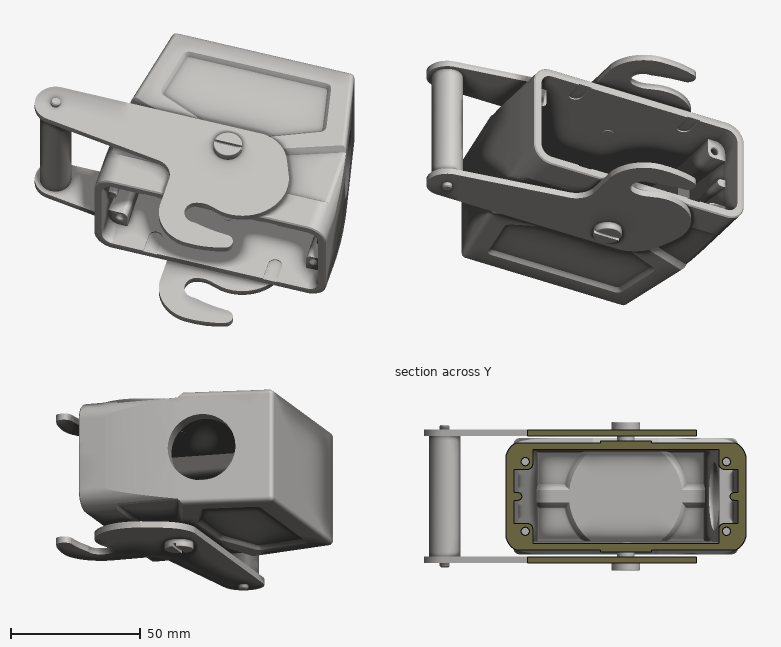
import cadquery as cq

wall_slope_angle = 45

rim_y = -25.1
taper_start_y = -14.0
hip_y = 15.7
top_y = 50.9
rim_half_x = 46.6
hip_half_x = 43.2
top_half_x = 36.4
upper_half_z = 22.5
skirt_half_z = 21.6
skirt_corner_radius = 7.5
upper_edge_round = 1.9
rim_chamfer = 0.5

band_half_z = 20.5
band_bottom_y = -10.5
band_edge_chamfer = 0.7
hip_ridge_slope = 0.36
hip_ridge_flat_half_x = 13.0
hip_ridge_flat_y = 3.6
pivot_boss_radius = 10.0

panel_depth = 1.5
panel_corner_radius = 2.5
panel_top_y = 42.9
panel_shoulder_y = 20.7
panel_bottom_y = 12.0
panel_top_half_x = 29.4
panel_shoulder_half_x = 33.5
panel_bottom_half_x = 13.0

rim_wall = 3.1
cavity_rim_half_z = 18.3
cavity_floor_half_z = 17.3
cavity_corner_radius = 4.6
cavity_kink_y = 8.7
cavity_kink_half_x = 41.4
cavity_floor_y = 47.6
cavity_floor_half_x = 34.0

entry_wall_ledge_x = 36.3
entry_wall_floor_x = 30.4
entry_radius = 13.2
entry_y = 22.5

floor_step = 2.0
floor_fillet = 0.7
floor_disc_radius = 24.0
floor_bar_half_z = 4.5

post_end_y = -15.6
post_inner_x = 35.9
post_inner_z = 10.4
post_corner_radius = 2.2
post_hole_x = 38.9
post_hole_z = 13.5
post_hole_diameter = 3.0
post_hole_depth = 15.0
post_hole_chamfer = 0.4
key_rib_width = 3.1
key_rib_tip_x = 40.2

groove_x = 24.1
groove_width = 5.5
groove_end_y = -15.0
groove_depth = 0.4

plate_inner_z = 23.3
plate_thickness = 2.5
plate_outer_z = plate_inner_z + plate_thickness
grip_x = -70.0
grip_y = 2.2
grip_end_radius = 8.1
grip_diameter = 12.2
pin_diameter = 3.9
pin_end_z = 27.6
pin_chamfer = 0.5

screw_shank_diameter = 6.7
screw_shank_start_z = 19.2
screw_tip_diameter = 4.7
screw_tip_z = 17.8
screw_head_diameter = 11.1
screw_span_z = 57.5
screw_top_z = screw_span_z / 2
screw_slot_width = 1.4
screw_slot_depth = 1.2
screw_edge_round = 0.4


def both_z_sides(half):
    """Join a shape with its mirror image across the mid-plane."""
    return half.union(half.mirror("XY"))


def mirrored_outline(right_side):
    """Close a right-hand chain of points with its mirror image across X = 0."""
    left_side = [(-x, y) for x, y in reversed(right_side)]
    return right_side + left_side


def slab(points, half_z):
    """Prism of an XY outline, centred on the mid-plane."""
    return cq.Workplane("XY").polyline(points).close().extrude(half_z, both=True)


def rounded_prism(half_x, half_z, radius, end_y):
    """Rounded rectangle running along Y from the rim of the hood to end_y."""
    depth = end_y - rim_y
    centre_y = (end_y + rim_y) / 2
    box = cq.Workplane("XY").box(2 * half_x, depth, 2 * half_z).translate((0, centre_y, 0))
    return box.edges("|Y").fillet(radius)


def hood_block():
    """Full outline of the hood: straight rim, curved flanks, tapering upper part."""
    right_half = (
        cq.Workplane("XY")
        .moveTo(0, top_y)
        .lineTo(top_half_x, top_y)
        .lineTo(hip_half_x, hip_y)
        .tangentArcPoint((rim_half_x, taper_start_y), relative=False)
        .lineTo(rim_half_x, rim_y)
        .lineTo(0, rim_y)
        .close()
        .extrude(upper_half_z, both=True)
    )
    return right_half.union(right_half.mirror("YZ")).clean()


def upper_hood():
    """Raised part above the V-shaped hip ridge, which slopes down to the band."""
    reach_x = 2 * rim_half_x
    above_y = 2 * top_y
    reach_y = hip_ridge_flat_y + hip_ridge_slope * (reach_x - hip_ridge_flat_half_x)
    outline = mirrored_outline(
        [(hip_ridge_flat_half_x, hip_ridge_flat_y), (reach_x, reach_y), (reach_x, above_y)]
    )
    step = upper_half_z - band_half_z
    ridge = (
        cq.Workplane("XY", origin=(0, 0, band_half_z))
        .polyline(outline)
        .close()
        .extrude(step, taper=wall_slope_angle)
    )
    region = slab(outline, band_half_z).union(both_z_sides(ridge))
    lowest_y = hip_y + upper_edge_round
    above_hip = cq.selectors.BoxSelector(
        (-reach_x, lowest_y, -reach_x), (reach_x, above_y, reach_x)
    )
    return hood_block().edges(above_hip).fillet(upper_edge_round).intersect(region)


def flank_selector(x_sign, z_sign):
    """Picks the long outer edge of the sunken band at one of its four corners."""
    margin = 0.2
    inner = (x_sign * (rim_half_x - skirt_corner_radius), taper_start_y / 2)
    outer = (x_sign * rim_half_x, hip_y)
    return cq.selectors.BoxSelector(
        (*inner, z_sign * (band_half_z - margin)),
        (*outer, z_sign * (band_half_z + margin)),
    )


def skirt():
    """Lower part with round corners, cut back along the band above its straight rim."""
    buried_y = (hip_y + top_y) / 2
    prism = rounded_prism(rim_half_x, skirt_half_z, skirt_corner_radius, buried_y)
    body = hood_block().intersect(prism)
    body = body.faces("<Y").edges().chamfer(rim_chamfer)
    step = upper_half_z - band_half_z
    above_band = (
        cq.Workplane("XY", origin=(0, 0, band_half_z))
        .polyline(mirrored_outline([(rim_half_x, band_bottom_y), (rim_half_x, top_y)]))
        .close()
        .extrude(step, taper=-wall_slope_angle)
    )
    body = body.cut(both_z_sides(above_band))
    band_flanks = flank_selector(1, 1)
    for x_sign, z_sign in ((1, -1), (-1, 1), (-1, -1)):
        band_flanks = band_flanks + flank_selector(x_sign, z_sign)
    return body.edges(band_flanks).chamfer(band_edge_chamfer)


def pivot_bosses():
    """Pads around the pivot, running down into the skirt."""
    boss = cq.Workplane("XY").circle(pivot_boss_radius).extrude(skirt_half_z, both=True)
    length = -taper_start_y
    web = cq.Workplane("XY").box(2 * pivot_boss_radius, length, 2 * skirt_half_z)
    return boss.union(web.translate((0, -length / 2, 0)))


def panel_recesses():
    """Flat-bottomed panels with 45-degree walls on both broad faces."""
    outline = mirrored_outline(
        [
            (panel_bottom_half_x, panel_bottom_y),
            (panel_shoulder_half_x, panel_shoulder_y),
            (panel_top_half_x, panel_top_y),
        ]
    )
    recess = (
        cq.Workplane("XY", origin=(0, 0, upper_half_z - panel_depth))
        .polyline(outline)
        .close()
        .extrude(2 * panel_depth)
        .edges("|Z")
        .fillet(panel_corner_radius)
        .faces("<Z")
        .chamfer(panel_depth)
    )
    return both_z_sides(recess)


def cavity():
    """Hollow of the hood: kinked end walls and slightly drafted broad walls."""
    rim_inner_x = rim_half_x - rim_wall
    side_taper = slab(
        mirrored_outline(
            [
                (rim_inner_x, rim_y),
                (rim_inner_x, taper_start_y),
                (cavity_kink_half_x, cavity_kink_y),
                (cavity_floor_half_x, cavity_floor_y),
            ]
        ),
        cavity_rim_half_z,
    )
    draft = (
        cq.Workplane("YZ")
        .polyline(
            [
                (rim_y, -cavity_rim_half_z),
                (cavity_floor_y, -cavity_floor_half_z),
                (cavity_floor_y, cavity_floor_half_z),
                (rim_y, cavity_rim_half_z),
            ]
        )
        .close()
        .extrude(rim_half_x, both=True)
    )
    prism = rounded_prism(rim_inner_x, cavity_rim_half_z, cavity_corner_radius, cavity_floor_y)
    return side_taper.intersect(draft).intersect(prism)


def entry_wall():
    """Thick part of the +X wall, with a ledge facing the mouth."""
    return slab(
        [
            (entry_wall_ledge_x, cavity_kink_y),
            (rim_half_x, cavity_kink_y),
            (rim_half_x, cavity_floor_y),
            (entry_wall_floor_x, cavity_floor_y),
        ],
        cavity_rim_half_z,
    )


def entry_hole():
    """Round cable entry, square to the inclined inner face of the thick wall."""
    rise = cavity_floor_y - cavity_kink_y
    slope = (entry_wall_ledge_x - entry_wall_floor_x) / rise
    face_x = entry_wall_ledge_x - slope * (entry_y - cavity_kink_y)
    plane = cq.Plane(origin=(face_x, entry_y, 0), xDir=(0, 0, 1), normal=(1, slope, 0))
    return cq.Workplane(plane).circle(entry_radius).extrude(rim_half_x)


def floor_figure():
    """Plateau on the cavity floor with sloping sides."""
    floor = cq.Workplane("XZ", origin=(0, cavity_floor_y, 0))
    disc = floor.circle(floor_disc_radius).extrude(floor_step, taper=wall_slope_angle)
    bar = floor.rect(4 * rim_half_x, 2 * floor_bar_half_z).extrude(floor_step, taper=wall_slope_angle)
    return disc.union(bar)


def screw_posts():
    """Four corner posts that carry the insert screws."""
    length = cavity_floor_y - post_end_y
    width_x = rim_half_x - post_inner_x
    width_z = skirt_half_z - post_inner_z
    post = (
        cq.Workplane("XY")
        .box(width_x, length, width_z, centered=False)
        .edges("|Y and <X and <Z")
        .fillet(post_corner_radius)
        .translate((post_inner_x, post_end_y, post_inner_z))
    )
    pair = both_z_sides(post)
    return pair.union(pair.mirror("YZ"))


def key_ribs():
    """Round-nosed ribs in the middle of both end walls."""
    nose = key_rib_width / 2
    length = cavity_floor_y - post_end_y
    mouth = cq.Workplane("XZ", origin=(0, post_end_y, 0))
    body_length = rim_half_x - key_rib_tip_x - nose
    rib = (
        mouth.center(key_rib_tip_x + nose, 0)
        .circle(nose)
        .extrude(-length)
        .union(
            mouth.center(rim_half_x - body_length / 2, 0)
            .rect(body_length, key_rib_width)
            .extrude(-length)
        )
    )
    return rib.union(rib.mirror("YZ"))


def post_holes():
    """Blind holes with chamfered mouths in the screw posts."""
    places = [(x, z) for x in (-post_hole_x, post_hole_x) for z in (-post_hole_z, post_hole_z)]
    mouth = cq.Workplane("XZ", origin=(0, post_end_y, 0)).pushPoints(places)
    bores = mouth.circle(post_hole_diameter / 2).extrude(-post_hole_depth)
    rims = mouth.circle(post_hole_diameter / 2 + post_hole_chamfer)
    return bores.union(rims.extrude(-post_hole_chamfer, taper=wall_slope_angle))


def guide_grooves():
    """Two shallow round-ended grooves in each broad wall."""
    radius = groove_width / 2
    half_z = cavity_rim_half_z + groove_depth
    grooves = cq.Workplane("XY")
    for x in (-groove_x, groove_x):
        end_y = groove_end_y - radius
        outline = (
            cq.Workplane("XY")
            .moveTo(x - radius, rim_y)
            .lineTo(x + radius, rim_y)
            .lineTo(x + radius, end_y)
            .threePointArc((x, groove_end_y), (x - radius, end_y))
            .close()
        )
        grooves = grooves.add(outline.extrude(half_z, both=True))
    return grooves.combine()


def hood():
    """Hood shell with its inner fittings and holes."""
    body = upper_hood().union(skirt()).union(pivot_bosses())
    body = body.cut(panel_recesses())
    fittings = entry_wall().union(floor_figure()).union(screw_posts()).union(key_ribs())
    void = cavity().cut(fittings).faces(">Y").edges().fillet(floor_fillet)
    return body.cut(void).cut(entry_hole()).cut(post_holes()).cut(guide_grooves())


def lever_plate():
    """One plate: grip arm on the left, pivot lobe on the right, hook below."""
    grip_top_y = grip_y + grip_end_radius
    return (
        cq.Workplane("XY", origin=(0, 0, plate_inner_z))
        .moveTo(grip_x, grip_top_y)
        .lineTo(11.6, grip_top_y)
        .threePointArc((19.2, 7.0), (23.6, 0.7))
        .lineTo(26.5, -6.5)
        .threePointArc((23.0, -24.2), (5.9, -29.9))
        .lineTo(1.9, -28.7)
        .threePointArc((-2.0, -28.0), (-5.4, -28.8))
        .threePointArc((-7.2, -35.3), (-2.5, -37.8))
        .threePointArc((4.1, -39.3), (11.0, -40.0))
        .threePointArc((14.3, -43.2), (12.5, -46.0))
        .threePointArc((4.7, -47.8), (-3.5, -48.0))
        .threePointArc((-13.6, -43.2), (-17.7, -33.9))
        .lineTo(-17.7, -20.2)
        .threePointArc((-19.5, -15.7), (-24.1, -13.0))
        .lineTo(grip_x - 1.1, grip_y - 8.0)
        .threePointArc((grip_x - grip_end_radius, grip_y), (grip_x, grip_top_y))
        .close()
        .extrude(plate_thickness)
    )


def grip():
    """Round bar between the plates, with a pin through both of them."""
    bar = cq.Workplane("XY").cylinder(2 * plate_inner_z, grip_diameter / 2)
    pin = (
        cq.Workplane("XY")
        .cylinder(2 * pin_end_z, pin_diameter / 2)
        .faces("<Z or >Z")
        .chamfer(pin_chamfer)
    )
    return bar.union(pin).translate((grip_x, grip_y, 0))


def pivot_screw():
    """Slotted screw whose tip just reaches the cavity."""
    shank = (
        cq.Workplane("XY", origin=(0, 0, screw_shank_start_z))
        .circle(screw_shank_diameter / 2)
        .extrude(plate_outer_z - screw_shank_start_z)
    )
    tip = (
        cq.Workplane("XY", origin=(0, 0, screw_tip_z))
        .circle(screw_tip_diameter / 2)
        .extrude(screw_shank_start_z - screw_tip_z)
    )
    head = (
        cq.Workplane("XY", origin=(0, 0, plate_outer_z))
        .circle(screw_head_diameter / 2)
        .extrude(screw_top_z - plate_outer_z)
        .faces(">Z")
        .edges()
        .fillet(screw_edge_round)
    )
    slot = cq.Workplane("XY").box(2 * screw_head_diameter, screw_slot_width, 2 * screw_slot_depth)
    return tip.union(shank).union(head).cut(slot.translate((0, 0, screw_top_z)))


lever = both_z_sides(lever_plate().union(pivot_screw())).union(grip())
result = hood().union(lever)